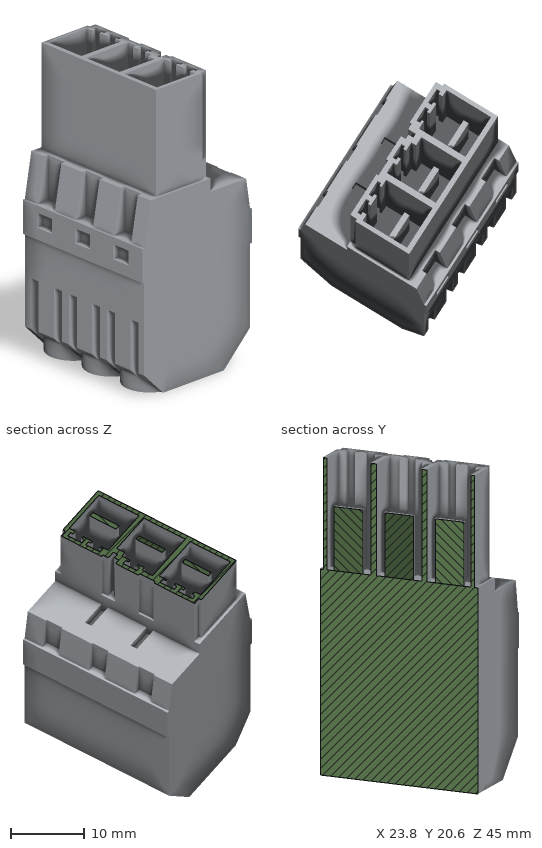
import cadquery as cq

total_height = 45.0
body_width = 23.75
body_half_depth = 9.95
poles = 3
pole_pitch = 7.6
pole_centres = [(i - (poles - 1) / 2) * pole_pitch for i in range(poles)]

ledge_top = 27.25
shoulder_top = 29.2
shoulder_back = 2.48
shoulder_front = -8.75
ledge_back = 9.2
back_chamfer = 4.95
front_chamfer = 3.55

band_half_depth = 10.3
band_bottom = 17.37
band_top = 22.45

front_recess_width = 3.4
front_recess_wall = -8.0
back_recess_width = 2.6
back_recess_wall = 9.0
window_width = 3.0
window_bottom = 19.17
window_height = 2.2
window_depth = 1.0

ledge_groove_inner = 3.2
ledge_groove_outer = 4.28
ledge_groove_back = 6.5
ledge_groove_depth = 1.35

collar_radius = 4.05
collar_front = -8.95
collar_centre = collar_front + collar_radius
slot_inner = 1.55
slot_outer = 3.1
slot_top = 11.05

tower_width = 22.8
tower_front = -7.25
corner_notch_width = 0.4
corner_notch_front = 1.4
back_relief_front = 2.15
left_relief_end = -1.8
key_start = 2.03
key_step = 2.75
key_end = 3.38
key_shallow_front = 1.7
key_deep_front = 0.95

socket_floor = shoulder_top
socket_front = -6.53
socket_half_width = 3.38
end_socket_outer = 3.2
socket_back = 0.8
socket_back_inner = 0.95
socket_back_outer = 0.65
middle_corner_back = 1.4
middle_corner_end = -1.7
middle_key_back = 0.05

t_slot_offset = 1.5
t_slot_width = 2.25
t_slot_back = 1.85
t_slot_lip = 1.25
t_neck_width = 1.35

blade_width = 4.35
blade_front = -3.55
blade_back = -2.75
blade_top = 38.25


def box(x0, x1, y0, y1, z0, z1):
    """Box between two opposite corners."""
    return cq.Workplane("XY").box(x1 - x0, y1 - y0, z1 - z0, centered=False).translate((x0, y0, z0))


def centred_box(x, width, y0, y1, z0, z1):
    """Box centred on x."""
    return box(x - width / 2, x + width / 2, y0, y1, z0, z1)


def body_block():
    """Side profile extruded over the full width."""
    profile = [
        (-body_half_depth + front_chamfer, 0),
        (body_half_depth - back_chamfer, 0),
        (body_half_depth, back_chamfer),
        (body_half_depth, band_bottom),
        (band_half_depth, band_bottom),
        (band_half_depth, band_top),
        (body_half_depth, band_top),
        (ledge_back, ledge_top),
        (shoulder_back, ledge_top),
        (shoulder_back, shoulder_top),
        (shoulder_front, shoulder_top),
        (-body_half_depth, band_top),
        (-band_half_depth, band_top),
        (-band_half_depth, band_bottom),
        (-body_half_depth, band_bottom),
        (-body_half_depth, front_chamfer),
    ]
    return cq.Workplane("YZ").polyline(profile).close().extrude(body_width / 2, both=True)


def cut_recesses(body):
    """Front and back recesses above the band, and a window in the band, at each pole."""
    for x in pole_centres:
        body = body.cut(centred_box(
            x, front_recess_width, -band_half_depth, front_recess_wall, band_top, shoulder_top))
        body = body.cut(centred_box(
            x, back_recess_width, back_recess_wall, band_half_depth, band_top, ledge_top))
        body = body.cut(centred_box(
            x, window_width, -band_half_depth, -band_half_depth + window_depth,
            window_bottom, window_bottom + window_height))
    return body


def cut_ledge_grooves(body):
    """Two grooves in the rear ledge, mirrored about the middle."""
    groove = box(ledge_groove_inner, ledge_groove_outer, shoulder_back, ledge_groove_back,
                 ledge_top - ledge_groove_depth, ledge_top)
    return body.cut(groove).cut(groove.mirror("YZ"))


def add_collars(body):
    """A round collar at each pole, laid open by a slot on either side of its front."""
    for x in pole_centres:
        for x0 in (x - slot_outer, x + slot_inner):
            body = body.cut(box(
                x0, x0 + slot_outer - slot_inner, -body_half_depth, collar_centre, 0, slot_top))
    for x in pole_centres:
        body = body.union(cq.Workplane("XY").center(x, collar_centre).circle(collar_radius).extrude(slot_top))
    return body


def tower():
    """Solid tower with notched rear corners, back reliefs and a stepped key notch."""
    z = (shoulder_top, total_height)
    half = tower_width / 2
    block = box(-half, half, tower_front, shoulder_back, *z)
    for x0 in (-half, half - corner_notch_width):
        block = block.cut(box(x0, x0 + corner_notch_width, corner_notch_front, shoulder_back, *z))
    block = block.cut(box(-ledge_groove_outer, left_relief_end, back_relief_front, shoulder_back, *z))
    block = block.cut(box(key_end, ledge_groove_outer, back_relief_front, shoulder_back, *z))
    block = block.cut(box(key_start, key_step, key_shallow_front, shoulder_back, *z))
    return block.cut(box(key_step, key_end, key_deep_front, shoulder_back, *z))


def socket_prism(outline):
    """Socket void with the given plan outline."""
    return (cq.Workplane("XY", origin=(0, 0, socket_floor))
            .polyline(outline).close().extrude(total_height - socket_floor))


def t_slot(x):
    """T-slot void: a narrow neck that opens into a wider channel."""
    neck = centred_box(x, t_neck_width, socket_back_outer, t_slot_lip, socket_floor, total_height)
    channel = centred_box(x, t_slot_width, t_slot_lip, t_slot_back, socket_floor, total_height)
    return neck.union(channel)


def left_socket():
    """Left end socket, centred on its pole; the steps of its back wall lie in the T-slots."""
    void = socket_prism([
        (-end_socket_outer, socket_front),
        (socket_half_width, socket_front),
        (socket_half_width, socket_back_inner),
        (t_slot_offset, socket_back_inner),
        (t_slot_offset, socket_back),
        (-t_slot_offset, socket_back),
        (-t_slot_offset, socket_back_outer),
        (-end_socket_outer, socket_back_outer),
    ])
    return void.union(t_slot(-t_slot_offset)).union(t_slot(t_slot_offset))


def middle_socket():
    """Middle socket, with a raised left corner and a right corner filled behind the key notch."""
    void = socket_prism([
        (-socket_half_width, socket_front),
        (socket_half_width, socket_front),
        (socket_half_width, middle_key_back),
        (key_start, middle_key_back),
        (key_start, socket_back),
        (middle_corner_end, socket_back),
        (middle_corner_end, middle_corner_back),
        (-socket_half_width, middle_corner_back),
    ])
    return void.union(t_slot(0))


def make_housing():
    """Complete one-piece housing."""
    body = add_collars(cut_ledge_grooves(cut_recesses(body_block())))
    left = left_socket().translate((-pole_pitch, 0, 0))
    return body.union(tower()).cut(left).cut(left.mirror("YZ")).cut(middle_socket())


def make_blade(x):
    """Flat contact blade standing on the socket floor."""
    return centred_box(x, blade_width, blade_front, blade_back, socket_floor, blade_top)


housing = make_housing()
blades = [make_blade(x) for x in pole_centres]

result = cq.Compound.makeCompound([housing.val(), *[blade.val() for blade in blades]])